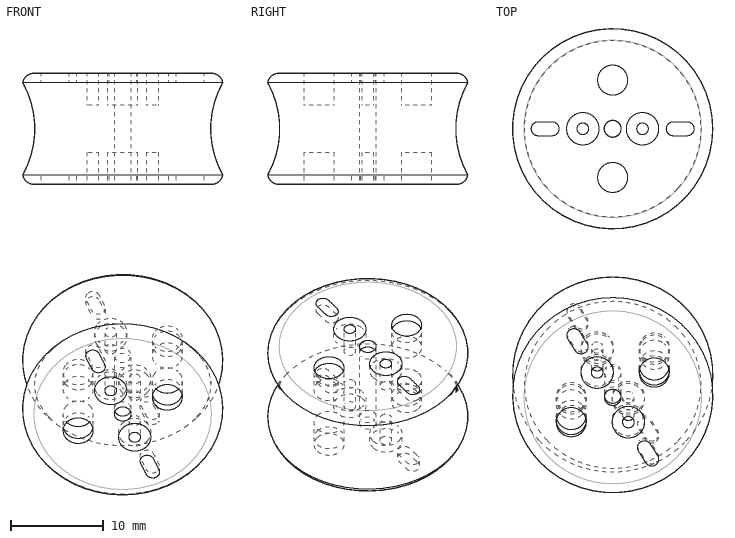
import cadquery as cq

rim_radius = 10.8
total_height = 12.0
flange_thickness = 1.04
flange_face_radius = 9.57
waist_radius = 9.5

center_hole_diameter = 1.8
pocket_diameter = 3.25
pocket_offset = 5.25
pocket_depth = 3.45
boss_diameter = 3.5
boss_offset = 3.22
boss_hole_diameter = 1.25
boss_hole_depth = 3.45
key_length = 3.0
key_width = 1.51
key_offset = 7.28

half_height = total_height / 2
seam_height = half_height - flange_thickness
pocket_points = [(0, -pocket_offset), (0, pocket_offset)]
boss_points = [(-boss_offset, 0), (boss_offset, 0)]
key_points = [(-key_offset, 0), (key_offset, 0)]


def mirrored_pair(upper):
    """Return a shape at the upper end and its mirror image at the lower end."""
    return [upper, upper.mirror("XY")]


def cylinders(points, diameter, bottom, top):
    """Upright cylinders at the given points, between two heights."""
    plane = cq.Workplane("XY", origin=(0, 0, bottom))
    return plane.pushPoints(points).circle(diameter / 2).extrude(top - bottom)


def flange_locks():
    """Round bosses and oblong keys of the core that fill the openings of the upper flange."""
    bosses = cylinders(boss_points, boss_diameter, seam_height, half_height)
    plane = cq.Workplane("XY", origin=(0, 0, seam_height))
    keys = plane.pushPoints(key_points).slot2D(key_length, key_width).extrude(flange_thickness)
    return bosses.add(keys).combine()


def center_bore():
    """Bore along the axis through all three bodies."""
    return cylinders([(0, 0)], center_hole_diameter, -half_height, half_height)


def pockets():
    """Blind round pockets sunk from the upper face."""
    return cylinders(pocket_points, pocket_diameter, half_height - pocket_depth, half_height)


def boss_holes():
    """Blind holes down the middle of the upper bosses."""
    return cylinders(boss_points, boss_hole_diameter, half_height - boss_hole_depth, half_height)


def make_core():
    """Waisted core with bosses and keys reaching both end faces."""
    core = (
        cq.Workplane("XZ")
        .moveTo(0, -seam_height)
        .lineTo(rim_radius, -seam_height)
        .threePointArc((waist_radius, 0), (rim_radius, seam_height))
        .lineTo(0, seam_height)
        .close()
        .revolve(360, (0, 0), (0, 1))
    )
    for locks in mirrored_pair(flange_locks()):
        core = core.union(locks)
    for cutter in mirrored_pair(pockets()) + mirrored_pair(boss_holes()):
        core = core.cut(cutter)
    return core.cut(center_bore())


def make_upper_flange():
    """End flange with a rounded rim and openings for the core's bosses and keys."""
    return (
        cq.Workplane("XZ")
        .moveTo(0, seam_height)
        .lineTo(0, half_height)
        .lineTo(flange_face_radius, half_height)
        .tangentArcPoint((rim_radius, seam_height), relative=False)
        .close()
        .revolve(360, (0, 0), (0, 1))
        .cut(flange_locks())
        .cut(pockets())
        .cut(center_bore())
    )


core = make_core()
flanges = mirrored_pair(make_upper_flange())

result = cq.Compound.makeCompound([core.val(), *[flange.val() for flange in flanges]])